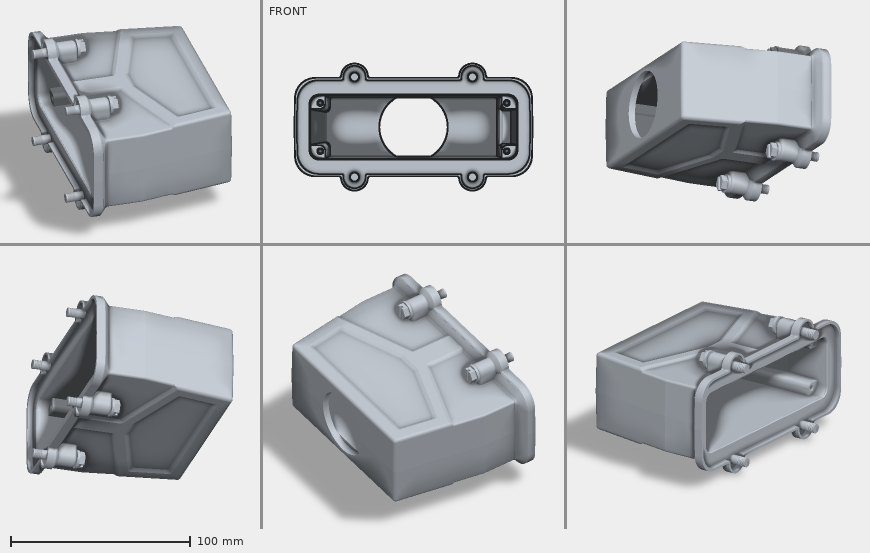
import cadquery as cq
import math


FLANGE_HALF_WIDTH = 66.5
FLANGE_HALF_HEIGHT = 27.5
SIDE_DRAFT = 0.5
FLANGE_CORNER = 11.6
FLANGE_DEPTH = 5.6
FLANGE_EDGE = 0.7
SKIRT_TOP = 8.9
SKIRT_MARGIN = 0.8
SKIRT_BLEND = 0.5
RIM_WIDTH = 1.3
RIM_ROUND = 0.5
RIM_CORNER = 12.0
RIM_DEPTH = 3.0
LUG_RADIUS = 7.6
LUG_BLEND = 1.0

BACK = 85.0
BACK_HALF_WIDTH = 50.8
BEND = 30.0
BODY_HALF_WIDTH = 60.1
BODY_HALF_HEIGHT = 22.94
MOULD_DRAFT = 1.0
BACK_CORNER = 1.9
RAISED_EDGE = 2.0
RECESSED_EDGE = 1.3

STEP = 1.3
STEP_RUN = 2.6
STEP_SLOPE = math.degrees(math.atan(STEP_RUN / STEP))
FLOOR_HALF_HEIGHT = BODY_HALF_HEIGHT - STEP
STEM_HALF_WIDTH = 6.18
STEM_TOP = 33.1
ARM_RISE = 0.362
PANEL_REACH = 79.8
POCKET_BACK = 77.4
POCKET_FRONT = 38.8
POCKET_FRONT_HALF = 6.9
POCKET_SIDE_HALF = 47.9
POCKET_BACK_HALF = 43.8
POCKET_CORNER = 3.3

MOUTH_HALF_WIDTH = 57.6
MOUTH_HALF_HEIGHT = 17.7
MOUTH_CORNER = 5.0
MOUTH_LEAD = 0.5
CAVITY_BEND = BEND
CAVITY_BEND_HALF_HEIGHT = 16.9
CAVITY_BEND_HALF_WIDTH = 57.2
CAVITY_BACK = 81.1
CAVITY_BACK_HALF_WIDTH = 49.2
CAVITY_BACK_HALF_HEIGHT = 16.4
CAVITY_FLOOR_ROUND = 0.5
CABLE_RADIUS = 19.0

POST_FRONT = 10.0
POST_X = 49.3
POST_Z = 10.2
POST_BACK_X = 46.4
POST_BACK_Z = 8.2
POST_ROUND = 2.7
POST_HOLE_X = 52.0
POST_HOLE_Z = 13.4
POST_HOLE_RADIUS = 1.2
POST_HOLE_MOUTH = 1.7
POST_HOLE_DEPTH = 10.6
SHELF_FRONT = 49.2
SHELF_X = 47.9
SHELF_ROUND = 1.3

SCREW_X = 32.92
SCREW_Z = 27.9
BOSS_RADIUS = 4.9
BOSS_TOP = 18.0
BOSS_ROUND = 2.0
BOSS_BLEND = 0.7
BOSS_FOOT = 7.2
SHANK_RADIUS = 2.7
SHANK_TIP = -6.9
THREAD_PITCH = 0.86
THREAD_DEPTH = 0.33
THREAD_TURNS = 5
WASHER_RADIUS = 5.3
WASHER_TOP = 19.4
HEAD_TOP = 22.7
HEAD_CORNERS = 9.2
SLOT_WIDTH = 1.7
SLOT_DEPTH = 1.5

SIGNS = (-1, 1)
SCREW_CENTRES = [(sx * SCREW_X, sz * SCREW_Z) for sx in SIGNS for sz in SIGNS]


def plane_at(y):
    """Plane across the hood at depth y, with X to the right and Z up."""
    return cq.Workplane("XZ", origin=(0, y, 0))


def both_halves(upper):
    return upper.union(upper.mirror("XY"))


def flange_block(inset, corner, start, end):
    """Flange outline with its four lugs, shrunk by inset, between two depths."""
    depth = end - start
    half_width = FLANGE_HALF_WIDTH - inset
    corner_x = half_width - SIDE_DRAFT
    half_height = FLANGE_HALF_HEIGHT - inset
    block = (
        plane_at(start)
        .polyline([
            (half_width, 0), (corner_x, half_height), (-corner_x, half_height),
            (-half_width, 0), (-corner_x, -half_height), (corner_x, -half_height),
        ])
        .close()
        .extrude(-depth)
    )
    block = block.edges("|Y and (>Z or <Z)").fillet(corner)
    lugs = plane_at(start).pushPoints(SCREW_CENTRES).circle(LUG_RADIUS - inset).extrude(-depth)
    block = block.union(lugs)
    inner_corners = cq.selectors.BoxSelector(
        (-SCREW_X - LUG_RADIUS - 1.3, start - 1.3, -half_height - 0.1),
        (SCREW_X + LUG_RADIUS + 1.3, end + 1.3, half_height + 0.1),
    )
    return block.edges("|Y").edges(inner_corners).fillet(LUG_BLEND)


def skirt_stage(start, start_spread, end, end_spread):
    """Tapering block; a spread of 1 is the flange outline and 0 is the body outline."""
    def section(y, spread):
        half_width = BODY_HALF_WIDTH + spread * (FLANGE_HALF_WIDTH - SKIRT_MARGIN - BODY_HALF_WIDTH)
        half_height = FLOOR_HALF_HEIGHT + spread * (FLANGE_HALF_HEIGHT - SKIRT_MARGIN - FLOOR_HALF_HEIGHT)
        corner = RECESSED_EDGE + spread * (FLANGE_CORNER - SKIRT_MARGIN - RECESSED_EDGE)
        outline = cq.Sketch().rect(2 * half_width, 2 * half_height).vertices().fillet(corner)
        return outline.moved(cq.Location((0, 0, start - y)))

    return plane_at(start).placeSketch(section(start, start_spread), section(end, end_spread)).loft()


def make_flange():
    flange = flange_block(0, FLANGE_CORNER, 0, FLANGE_DEPTH).faces(">Y").edges().chamfer(FLANGE_EDGE)
    skirt = skirt_stage(FLANGE_DEPTH, 1, SKIRT_TOP, 0)
    bevel_start = SKIRT_TOP - SKIRT_BLEND
    bevel_spread = SKIRT_BLEND / (SKIRT_TOP - FLANGE_DEPTH)
    bevel = skirt_stage(bevel_start, bevel_spread, SKIRT_TOP + SKIRT_BLEND, 0)
    return flange.union(skirt).union(bevel)


def body_half(height, edge_round):
    """Upper half of the body, leaning in from the crease at Z = 0."""
    half = (
        cq.Workplane("XY")
        .polyline([
            (-BODY_HALF_WIDTH, 0), (BODY_HALF_WIDTH, 0), (BODY_HALF_WIDTH, BEND),
            (BACK_HALF_WIDTH, BACK), (-BACK_HALF_WIDTH, BACK), (-BODY_HALF_WIDTH, BEND),
        ])
        .close()
        .extrude(height, taper=MOULD_DRAFT)
    )
    half = half.faces(">Y").edges("not |X").fillet(BACK_CORNER)
    return half.faces(">Z").edges("not <Y").fillet(edge_round)


def panel_block():
    """Block whose sloping flanks bound the raised Y-shaped panel."""
    arm_end = STEM_TOP + ARM_RISE * (PANEL_REACH - STEM_HALF_WIDTH)
    outline = (
        cq.Workplane("XY", origin=(0, 0, FLOOR_HALF_HEIGHT))
        .polyline([
            (-STEM_HALF_WIDTH, -PANEL_REACH), (STEM_HALF_WIDTH, -PANEL_REACH),
            (STEM_HALF_WIDTH, STEM_TOP), (PANEL_REACH, arm_end),
            (PANEL_REACH, 2 * BACK), (-PANEL_REACH, 2 * BACK),
            (-PANEL_REACH, arm_end), (-STEM_HALF_WIDTH, STEM_TOP),
        ])
        .close()
        .offset2D(STEP_RUN, "intersection")
    )
    flanks = outline.extrude(STEP, taper=STEP_SLOPE)
    root = flanks.faces("<Z").wires().toPending().extrude(-RECESSED_EDGE)
    return flanks.union(root)


def pocket():
    side_y = POCKET_FRONT + ARM_RISE * (POCKET_SIDE_HALF - POCKET_FRONT_HALF)
    hollow = (
        cq.Workplane("XY", origin=(0, 0, BODY_HALF_HEIGHT))
        .polyline([
            (-POCKET_FRONT_HALF, POCKET_FRONT), (POCKET_FRONT_HALF, POCKET_FRONT),
            (POCKET_SIDE_HALF, side_y), (POCKET_BACK_HALF, POCKET_BACK),
            (-POCKET_BACK_HALF, POCKET_BACK), (-POCKET_SIDE_HALF, side_y),
        ])
        .close()
        .extrude(-STEP, taper=STEP_SLOPE)
    )
    side_corners = hollow.edges("not #Z").filter(lambda edge: abs(edge.Center().x) > 2 * POCKET_FRONT_HALF)
    return side_corners.fillet(POCKET_CORNER)


def make_body():
    core = body_half(FLOOR_HALF_HEIGHT, RECESSED_EDGE)
    panel = body_half(BODY_HALF_HEIGHT, RAISED_EDGE).intersect(panel_block())
    return both_halves(core.union(panel).cut(pocket()))


def make_post(sx, sz):
    """Corner post that thickens towards the back wall."""
    def section(inner_x, inner_z):
        width = BODY_HALF_WIDTH - inner_x
        height = BODY_HALF_HEIGHT - inner_z
        centre = cq.Location((sx * (inner_x + width / 2), sz * (inner_z + height / 2), 0))
        return cq.Sketch().rect(width, height).vertices().fillet(POST_ROUND).moved(centre)

    depth = BACK - POST_FRONT
    back = section(POST_BACK_X, POST_BACK_Z).moved(cq.Location((0, 0, -depth)))
    return plane_at(POST_FRONT).placeSketch(section(POST_X, POST_Z), back).loft()


def make_shelf():
    """Block that joins the two posts on the +X side."""
    return (
        cq.Workplane("XY", origin=(0, 0, -POST_Z))
        .polyline([
            (SHELF_X, SHELF_FRONT), (BODY_HALF_WIDTH, SHELF_FRONT),
            (BODY_HALF_WIDTH, BACK), (POST_BACK_X, BACK),
        ])
        .close()
        .extrude(2 * POST_Z)
        .edges("|Z")
        .edges("<Y")
        .edges("<X")
        .fillet(SHELF_ROUND)
    )


def make_cavity():
    """Hollow that narrows slowly from the mouth to the bend and faster from there on."""
    def section(half_width, half_height, offset):
        outline = cq.Sketch().rect(2 * half_width, 2 * half_height).vertices().fillet(MOUTH_CORNER)
        return outline.moved(cq.Location((0, 0, -offset)))

    mouth = section(MOUTH_HALF_WIDTH, MOUTH_HALF_HEIGHT, 0)
    bend = section(CAVITY_BEND_HALF_WIDTH, CAVITY_BEND_HALF_HEIGHT, CAVITY_BEND)
    back = section(CAVITY_BACK_HALF_WIDTH, CAVITY_BACK_HALF_HEIGHT, CAVITY_BACK)
    hollow = plane_at(0).placeSketch(mouth, bend).loft().union(plane_at(0).placeSketch(bend, back).loft())
    return hollow.faces(">Y").edges().fillet(CAVITY_FLOOR_ROUND)


def make_mouth_lead():
    """Bevelled edge where the cavity opens onto the gasket face."""
    outline = (
        cq.Sketch()
        .rect(2 * (MOUTH_HALF_WIDTH + MOUTH_LEAD), 2 * (MOUTH_HALF_HEIGHT + MOUTH_LEAD))
        .vertices()
        .fillet(MOUTH_CORNER + MOUTH_LEAD)
    )
    return plane_at(RIM_DEPTH).placeSketch(outline).extrude(-MOUTH_LEAD, taper=45)


def make_gasket_recess():
    return flange_block(RIM_WIDTH, RIM_CORNER, 0, RIM_DEPTH).faces(">Y").edges().fillet(RIM_ROUND)


def make_boss(x, z):
    """Round screw boss with a web reaching into the body."""
    side = math.copysign(1, z)
    post = plane_at(0).center(x, z).circle(BOSS_RADIUS).extrude(-BOSS_TOP)
    web_height = 2 * BOSS_RADIUS
    web = plane_at(0).center(x, z - side * web_height / 2).rect(2 * BOSS_RADIUS, web_height)
    return post.union(web.extrude(-BOSS_TOP)).faces(">Y").edges().fillet(BOSS_ROUND)


def make_boss_cone(x, z):
    """Cone from a lug up to the foot of its boss."""
    return (
        plane_at(FLANGE_DEPTH)
        .center(x, z)
        .circle(LUG_RADIUS - FLANGE_EDGE)
        .workplane(offset=FLANGE_DEPTH - BOSS_FOOT)
        .circle(BOSS_RADIUS)
        .loft()
    )


def blend_boss_webs(shell):
    """Round the corners where the boss webs stand on the recessed body faces."""
    def is_web_foot(edge):
        centre = edge.Center()
        on_floor = abs(abs(centre.z) - FLOOR_HALF_HEIGHT) < 0.01
        on_web = abs(abs(abs(centre.x) - SCREW_X) - BOSS_RADIUS) < 0.01
        return on_floor and on_web

    return shell.edges("|Y").filter(is_web_foot).fillet(BOSS_BLEND)


def make_screw(x, z):
    profile = (
        cq.Workplane("XY")
        .moveTo(0, BOSS_TOP)
        .lineTo(0, SHANK_TIP)
        .lineTo(SHANK_RADIUS, SHANK_TIP)
        .lineTo(SHANK_RADIUS, SHANK_TIP + THREAD_PITCH)
    )
    for turn in range(1, THREAD_TURNS + 1):
        crest = SHANK_TIP + (turn + 1) * THREAD_PITCH
        profile = profile.lineTo(SHANK_RADIUS - THREAD_DEPTH, crest - THREAD_PITCH / 2)
        profile = profile.lineTo(SHANK_RADIUS, crest)
    shank = profile.lineTo(SHANK_RADIUS, BOSS_TOP).close().revolve(360, (0, 0, 0), (0, 1, 0))
    washer = plane_at(BOSS_TOP).circle(WASHER_RADIUS).extrude(BOSS_TOP - WASHER_TOP)
    head = plane_at(WASHER_TOP).polygon(6, HEAD_CORNERS).extrude(WASHER_TOP - HEAD_TOP)
    slot = plane_at(HEAD_TOP).rect(SLOT_WIDTH, 2 * HEAD_CORNERS).extrude(SLOT_DEPTH)
    return shank.union(washer).union(head.cut(slot)).translate((x, 0, z))


def make_post_hole(x, z):
    countersink = POST_HOLE_MOUTH - POST_HOLE_RADIUS
    return (
        plane_at(POST_FRONT)
        .center(x, z)
        .circle(POST_HOLE_RADIUS)
        .extrude(-POST_HOLE_DEPTH)
        .union(plane_at(POST_FRONT).center(x, z).circle(POST_HOLE_MOUTH).extrude(-countersink, taper=45))
    )


shell = make_body()
for x, z in SCREW_CENTRES:
    shell = shell.union(make_boss(x, z))
shell = blend_boss_webs(shell).union(make_flange())
for x, z in SCREW_CENTRES:
    shell = shell.union(make_boss_cone(x, z))

cavity = make_cavity().cut(make_shelf())
for sx in SIGNS:
    for sz in SIGNS:
        cavity = cavity.cut(make_post(sx, sz))
hood = shell.cut(make_gasket_recess()).cut(make_mouth_lead()).cut(cavity)

hood = hood.cut(plane_at(BACK).circle(CABLE_RADIUS).extrude(BACK - CAVITY_BACK + CAVITY_FLOOR_ROUND))
for sx in SIGNS:
    for sz in SIGNS:
        hood = hood.cut(make_post_hole(sx * POST_HOLE_X, sz * POST_HOLE_Z))

for x, z in SCREW_CENTRES:
    hood = hood.union(make_screw(x, z))

result = hood